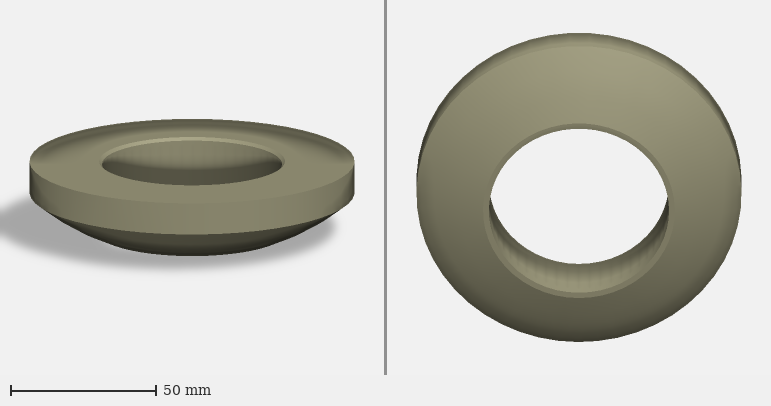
import cadquery as cq
import math

outer_radius = 56.0
height = 25.0
rim_height = 11.1
bottom_radius = 33.0
bore_radius = 31.0
bore_chamfer = 1.0

seat_height = height - rim_height
sphere_center_z = (outer_radius**2 - bottom_radius**2 + seat_height**2) / (2 * seat_height)
sphere_radius = math.hypot(bottom_radius, sphere_center_z)

mid_radius = (outer_radius + bottom_radius) / 2
mid_z = sphere_center_z - math.sqrt(sphere_radius**2 - mid_radius**2)

half_section = (
    cq.Workplane("XZ")
    .moveTo(bore_radius, 0)
    .lineTo(bottom_radius, 0)
    .threePointArc((mid_radius, mid_z), (outer_radius, seat_height))
    .lineTo(outer_radius, height)
    .lineTo(bore_radius + bore_chamfer, height)
    .lineTo(bore_radius, height - bore_chamfer)
    .close()
)
result = half_section.revolve(360, (0, 0, 0), (0, 1, 0))